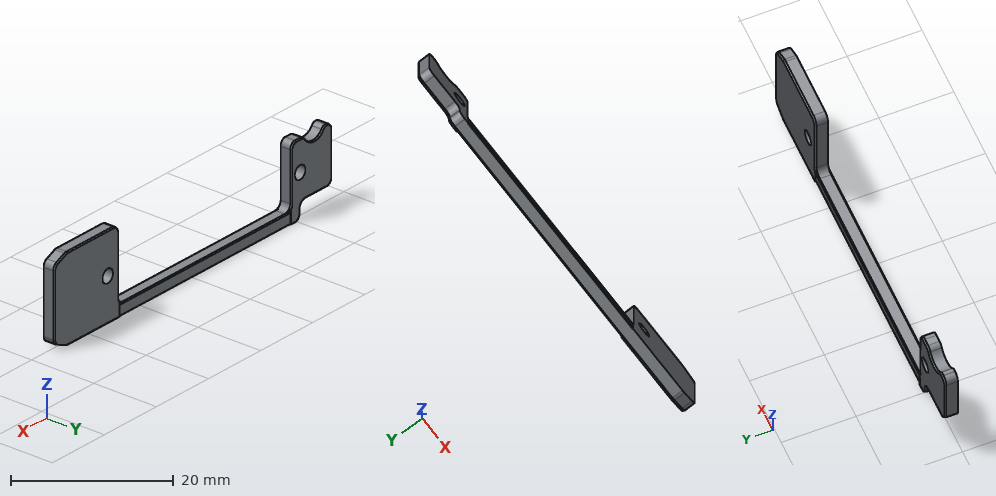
import cadquery as cq
import math

LENGTH = 53.25
HEIGHT = 12.85
CORNER_RADIUS = 1.0

PLATE_DEPTH = 1.8
REAR_BEVEL_DEPTH = 0.25
REAR_BEVEL_INSET = 0.1

LEFT_WIDTH = 7.7
LEFT_TOP = 11.2
LEFT_TOP_RADIUS = 0.9
LEFT_BOTTOM = 2.6
NECK_LEFT = 6.1
NOTCH_X = 3.4
NOTCH_RADIUS = 2.0
NOTCH_FLOOR = 9.9
NOTCH_LIP_RADIUS = 0.9

RIGHT_START = 40.95
SLOPE_START = 50.9
SLOPE_ANGLE = 23.0
SLOPE_DROP = (LENGTH - SLOPE_START) * math.tan(math.radians(SLOPE_ANGLE))

BAR_SIZE = 1.8
BAR_STEP = 0.1
BAR_CHAMFER = 0.15
BAR_OVERLAP = 0.15
BAR_START = LEFT_WIDTH + BAR_OVERLAP
BAR_END = RIGHT_START - BAR_OVERLAP

HOLE_DIAMETER = 2.0
HOLE_Z = 6.6
HOLE_XS = (6.1, 43.05)


def box_between(start, end):
    """Box spanning two opposite corner points."""
    size = [high - low for low, high in zip(start, end)]
    return cq.Workplane("XY").box(*size, centered=False).translate(start)


def outline_edge_at(body, x, z):
    """The one edge along Y through the given outline corner."""
    middle = (x, PLATE_DEPTH / 2, z)
    return body.edges("|Y").edges(cq.selectors.NearestToPointSelector(middle))


def make_outline_body():
    """Both plates and the web between them, with all corners rounded."""
    right_corners = [
        (NECK_LEFT, 0),
        (SLOPE_START, 0),
        (LENGTH, SLOPE_DROP),
        (LENGTH, HEIGHT - SLOPE_DROP),
        (SLOPE_START, HEIGHT),
        (RIGHT_START, HEIGHT),
        (RIGHT_START, BAR_SIZE),
        (LEFT_WIDTH, BAR_SIZE),
        (LEFT_WIDTH, LEFT_TOP),
    ]
    left_corners = [
        (0, LEFT_TOP),
        (0, LEFT_BOTTOM),
        (NECK_LEFT, LEFT_BOTTOM),
    ]
    notch_center_z = NOTCH_FLOOR + NOTCH_RADIUS
    half_notch = math.sqrt(NOTCH_RADIUS**2 - (notch_center_z - LEFT_TOP) ** 2)
    body = (
        cq.Workplane("XZ")
        .polyline(right_corners)
        .lineTo(NOTCH_X + half_notch, LEFT_TOP)
        .threePointArc((NOTCH_X, NOTCH_FLOOR), (NOTCH_X - half_notch, LEFT_TOP))
        .polyline(left_corners, includeCurrent=True)
        .close()
        .extrude(-PLATE_DEPTH)
    )
    for x, z in right_corners + left_corners:
        radius = LEFT_TOP_RADIUS if z == LEFT_TOP else CORNER_RADIUS
        body = outline_edge_at(body, x, z).fillet(radius)
    for x in (NOTCH_X - half_notch, NOTCH_X + half_notch):
        body = outline_edge_at(body, x, LEFT_TOP).fillet(NOTCH_LIP_RADIUS)
    return body


def make_bar():
    """Bar with its four long edges chamfered."""
    front = -BAR_STEP
    bar = box_between((BAR_START, front, 0), (BAR_END, front + BAR_SIZE, BAR_SIZE))
    return bar.edges("|X").chamfer(BAR_CHAMFER)


def make_plates(body):
    """Clear the web and trim the inner coves to the rear of the flat top of the bar."""
    rear_flat = BAR_SIZE - BAR_STEP - BAR_CHAMFER
    web = box_between((BAR_START, 0, 0), (BAR_END, PLATE_DEPTH, BAR_SIZE))
    rear_strip = box_between((BAR_START, rear_flat, 0), (BAR_END, PLATE_DEPTH, HEIGHT))
    return body.cut(web).cut(rear_strip)


outline = make_outline_body()
outline = outline.faces(">Y").edges().chamfer(REAR_BEVEL_DEPTH, REAR_BEVEL_INSET)
holes = (
    cq.Workplane("XZ")
    .pushPoints([(x, HOLE_Z) for x in HOLE_XS])
    .circle(HOLE_DIAMETER / 2)
    .extrude(-PLATE_DEPTH)
)
result = make_plates(outline).union(make_bar()).cut(holes)